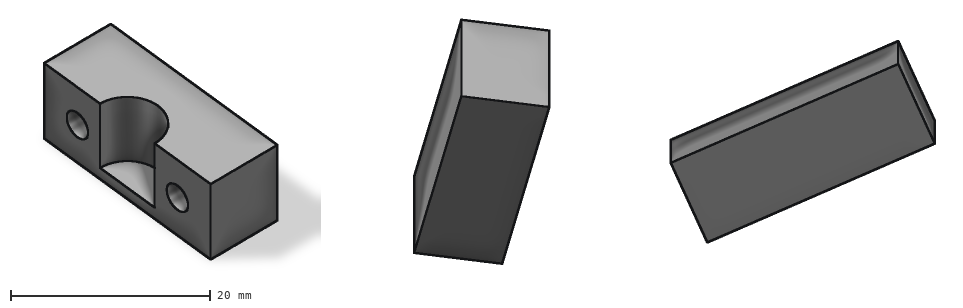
import cadquery as cq

LENGTH = 25.0
DEPTH = 9.0
HEIGHT = 10.0

POCKET_DIAMETER = 8.2
FLOOR_THICKNESS = 1.5

HOLE_DIAMETER = 3.2
HOLE_SPACING = 15.0
HOLE_DEPTH = 7.0

FRONT_Y = -DEPTH / 2


def make_block():
    """Plain block centred on the origin in X and Y, resting on Z = 0."""
    return cq.Workplane("XY").box(LENGTH, DEPTH, HEIGHT, centered=(True, True, False))


def make_pocket():
    """Vertical cylinder with its axis in the front face, standing on the pocket floor."""
    return (
        cq.Workplane("XY", origin=(0, FRONT_Y, FLOOR_THICKNESS))
        .circle(POCKET_DIAMETER / 2)
        .extrude(HEIGHT - FLOOR_THICKNESS)
    )


def make_screw_holes():
    """Pair of flat-bottomed holes running from the front face towards +Y."""
    return (
        cq.Workplane("XZ", origin=(0, FRONT_Y, HEIGHT / 2))
        .pushPoints([(-HOLE_SPACING / 2, 0), (HOLE_SPACING / 2, 0)])
        .circle(HOLE_DIAMETER / 2)
        .extrude(-HOLE_DEPTH)
    )


result = make_block().cut(make_pocket()).cut(make_screw_holes())